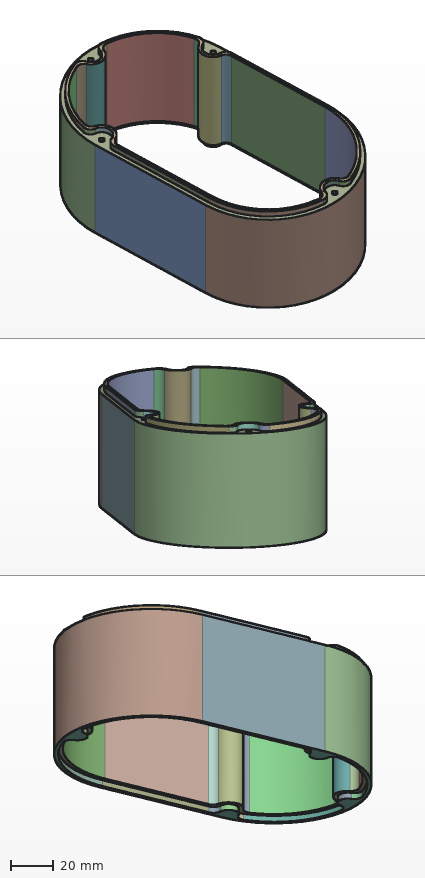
import cadquery as cq
length = 160.0
width = 92.0
height = 58.0
opening_width = 83.8

lip_height = 3.0
lip_inset = 2.4
recess_depth = 3.0
recess_inset = 2.0

boss_diameter = 14.0
boss_inset = 5.0
corner_radius = 4.0
hole_diameter = 2.5
hole_depth = 0.5

wall = (width - opening_width) / 2
ledge_z = height - lip_height
end_radius = width / 2
end_center_x = length / 2 - end_radius
boss_reach = end_radius - boss_inset
boss_places = [
    (-end_center_x, 90),
    (-end_center_x, 180),
    (-end_center_x, 270),
    (end_center_x, 0),
]


def stadium(inset, depth):
    """Upright stadium block whose sides lie inside the outer wall by the inset."""
    return cq.Workplane("XY").slot2D(length - 2 * inset, width - 2 * inset).extrude(depth)


def boss_cylinders(diameter, bottom_z, top_z):
    """Upright cylinders on the boss axes, each with its seam turned to the outer wall."""
    cylinders = cq.Workplane("XY")
    for center_x, angle in boss_places:
        cylinder = (
            cq.Workplane("XY", origin=(0, 0, bottom_z))
            .center(boss_reach, 0)
            .circle(diameter / 2)
            .extrude(top_z - bottom_z)
            .rotate((0, 0, 0), (0, 0, 1), angle)
            .translate((center_x, 0, 0))
        )
        cylinders = cylinders.add(cylinder)
    return cylinders.combine()


def inner_block(inset, depth):
    """Block inside the outer wall by the inset, with a bay left out around each boss.

    At an inset equal to the wall it fills the opening; at a smaller one it bites into wall and bosses alike.
    """
    bay_diameter = boss_diameter - 2 * (wall - inset)
    block = stadium(inset, depth).cut(boss_cylinders(bay_diameter, 0, depth))
    right_seams = cq.selectors.BoxSelector(
        (end_center_x - 1.6, -width, 0), (end_center_x + 1.6, width, depth)
    )
    corners = block.edges(cq.StringSyntaxSelector("|Z") - right_seams)
    return corners.fillet(corner_radius)


body = stadium(0, ledge_z)
lip = inner_block(lip_inset, height)
opening = inner_block(wall, height)
recess = inner_block(recess_inset, recess_depth)
holes = boss_cylinders(hole_diameter, ledge_z - hole_depth, ledge_z)

result = body.union(lip).cut(opening).cut(recess).cut(holes)